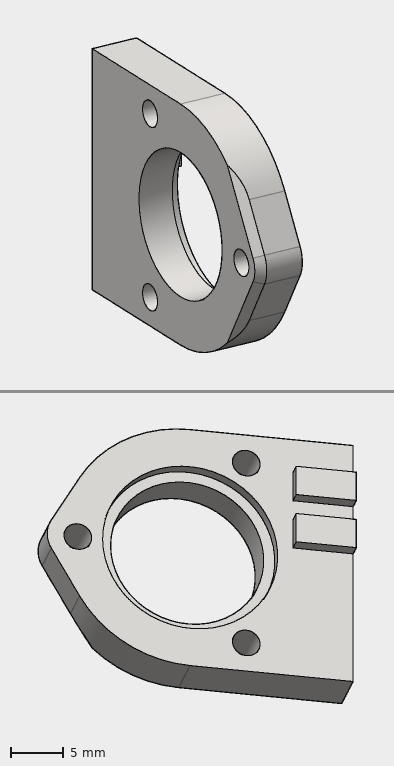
import cadquery as cq
import math

length = 29.95
width = 25.0
thickness = 5.0
nose_radius = 3.0
big_radius = width / 2

bore_radius = 7.48
recess_radius = 8.55
recess_depth = 1.25
bolt_circle_radius = 11.0
bolt_hole_radius = 1.35
bolt_angles = (0, 120, 240)
nose_x = length - nose_radius
bore_x = nose_x - bolt_circle_radius

bevel_depth = 1.0
bevel_angle = 30.0

tooth_length = 5.9
tooth_height = 1.4
tooth_width = 3.0
tooth_centers_z = (2.5, 7.5)

flank_normal = math.acos((big_radius - nose_radius) / bolt_circle_radius)
normal_x = math.cos(flank_normal)
normal_z = math.sin(flank_normal)
big_tangent = (bore_x + big_radius * normal_x, big_radius * normal_z)
nose_tangent = (nose_x + nose_radius * normal_x, nose_radius * normal_z)
arc_middle_angle = (math.pi / 2 + flank_normal) / 2
big_arc_middle = (
    bore_x + big_radius * math.cos(arc_middle_angle),
    big_radius * math.sin(arc_middle_angle),
)


def mirrored(point):
    """Reflect an (x, z) point to the other side of the centre line."""
    return (point[0], -point[1])


def make_plate():
    return (
        cq.Workplane("XZ")
        .moveTo(0, -big_radius)
        .lineTo(bore_x, -big_radius)
        .threePointArc(mirrored(big_arc_middle), mirrored(big_tangent))
        .lineTo(*mirrored(nose_tangent))
        .threePointArc((length, 0), nose_tangent)
        .lineTo(*big_tangent)
        .threePointArc(big_arc_middle, (bore_x, big_radius))
        .lineTo(0, big_radius)
        .close()
        .extrude(-thickness)
    )


def make_bevel_cutter():
    """Slab minus a tapered wedge whose flanks run on past the plate."""
    margin = 6.0
    reach_z = big_radius + margin
    flank_run = (reach_z - nose_tangent[1]) * normal_z / normal_x
    flank_end = (nose_tangent[0] - flank_run, reach_z)
    wedge = (
        cq.Workplane("XZ", origin=(0, bevel_depth, 0))
        .moveTo(-margin, -reach_z)
        .lineTo(*mirrored(flank_end))
        .lineTo(*mirrored(nose_tangent))
        .threePointArc((length, 0), nose_tangent)
        .lineTo(*flank_end)
        .lineTo(-margin, reach_z)
        .close()
        .extrude(bevel_depth, taper=bevel_angle)
    )
    slab = cq.Workplane("XY").box(
        length, bevel_depth, width, centered=(False, False, True)
    )
    return slab.cut(wedge)


def make_holes():
    bore = cq.Workplane("XZ").center(bore_x, 0).circle(bore_radius).extrude(-thickness)
    recess = (
        cq.Workplane("XZ", origin=(0, thickness, 0))
        .center(bore_x, 0)
        .circle(recess_radius)
        .extrude(recess_depth)
    )
    bolt_points = [
        (
            bolt_circle_radius * math.cos(math.radians(angle)),
            bolt_circle_radius * math.sin(math.radians(angle)),
        )
        for angle in bolt_angles
    ]
    bolts = (
        cq.Workplane("XZ")
        .center(bore_x, 0)
        .pushPoints(bolt_points)
        .circle(bolt_hole_radius)
        .extrude(-thickness)
    )
    return bore.union(recess).union(bolts)


def make_teeth():
    return (
        cq.Workplane("XZ", origin=(0, thickness, 0))
        .pushPoints([(tooth_length / 2, z) for z in tooth_centers_z])
        .rect(tooth_length, tooth_width)
        .extrude(-tooth_height)
    )


result = make_plate().cut(make_bevel_cutter()).cut(make_holes()).union(make_teeth())